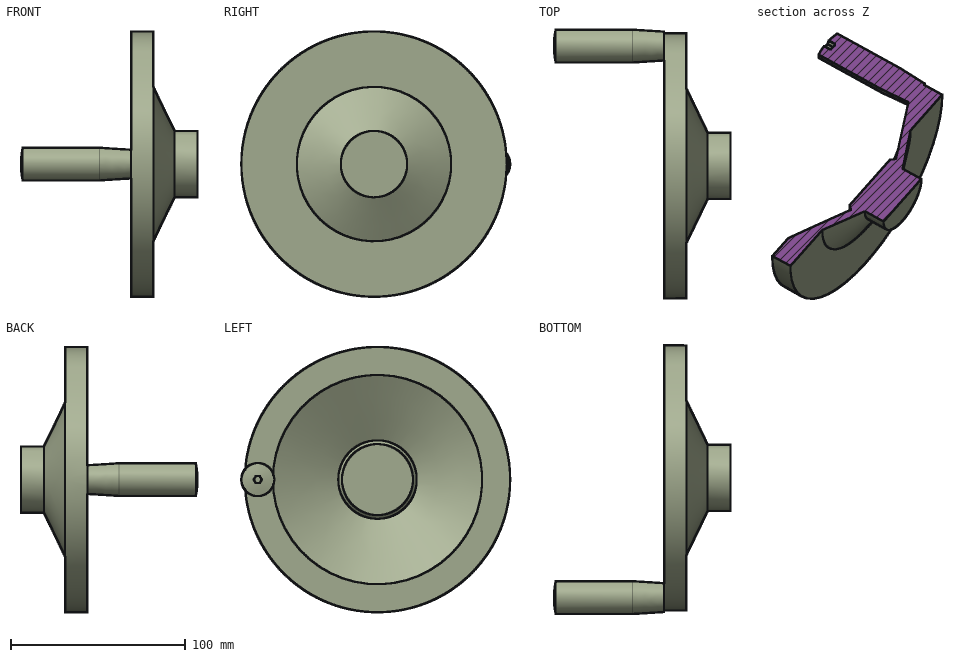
import cadquery as cq
import math

wheel_radius = 152.4 / 2
rim_width = 12.8

web_back_radius = 44.3
hub_radius = 38.1 / 2
hub_start = 25.0
hub_end = 38.1

dish_radius = 60.0
dish_floor_radius = 22.5
dish_depth = 17.6
boss_top_radius = 20.4
boss_height = 2.5

handle_radius = 19.0 / 2
handle_offset = 68.7
handle_length = 63.3
handle_neck_radius = 8.3
handle_neck_length = 18.0
handle_dome_height = 1.1

socket_across_flats = 4.0
socket_depth = 4.6


def make_wheel():
    """Revolve the wheel half section, drawn as (x, radius), about X."""
    boss_top = dish_depth - boss_height
    return (
        cq.Workplane("XY")
        .moveTo(boss_top, 0)
        .lineTo(boss_top, boss_top_radius)
        .lineTo(dish_depth, dish_floor_radius)
        .lineTo(0, dish_radius)
        .lineTo(0, wheel_radius)
        .lineTo(rim_width, wheel_radius)
        .lineTo(rim_width, web_back_radius)
        .lineTo(hub_start, hub_radius)
        .lineTo(hub_end, hub_radius)
        .lineTo(hub_end, 0)
        .close()
        .revolve(360, (0, 0, 0), (1, 0, 0))
    )


def make_handle():
    """Revolve the domed, tapered handle and cut the socket in its end."""
    grip_end = handle_dome_height - handle_length
    dome_radius = (handle_radius**2 + handle_dome_height**2) / (2 * handle_dome_height)
    mid_radius = handle_radius / 2
    dome_center = dome_radius - handle_length
    mid_x = dome_center - math.sqrt(dome_radius**2 - mid_radius**2)
    handle = (
        cq.Workplane("XY")
        .moveTo(-handle_length, 0)
        .threePointArc((mid_x, mid_radius), (grip_end, handle_radius))
        .lineTo(-handle_neck_length, handle_radius)
        .lineTo(0, handle_neck_radius)
        .lineTo(0, 0)
        .close()
        .revolve(360, (0, 0, 0), (1, 0, 0))
    )
    across_corners = socket_across_flats / math.cos(math.pi / 6)
    socket = (
        cq.Workplane("YZ", origin=(-handle_length, 0, 0))
        .polygon(6, across_corners)
        .extrude(socket_depth)
    )
    return handle.cut(socket).translate((0, handle_offset, 0))


result = make_wheel().union(make_handle())